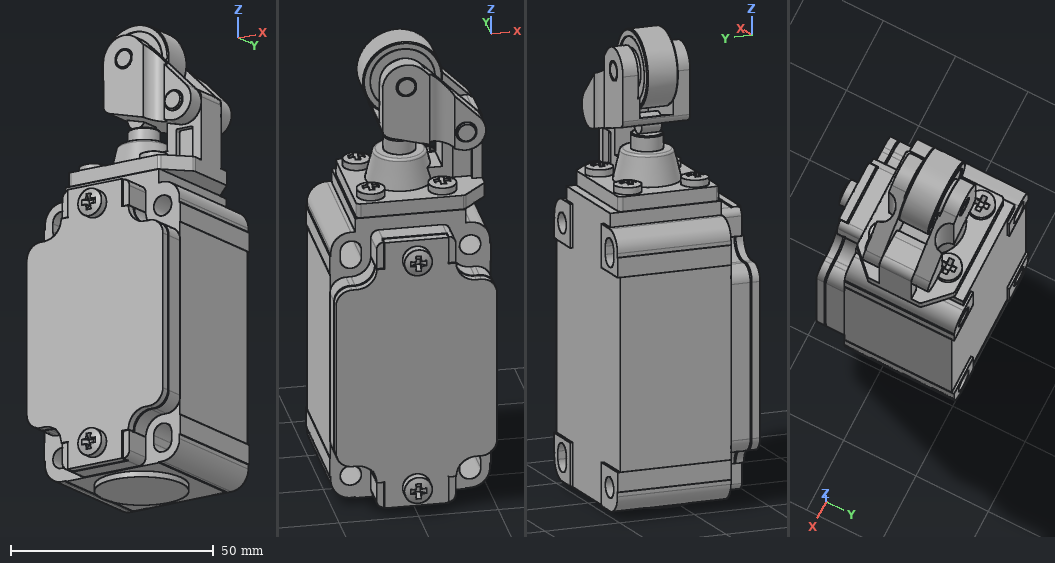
import cadquery as cq
import math


front_y = -14.0
back_y = 15.75
pad_back_y = 16.4
core_half_width = 13.9
core_top = 76.0
ear_half_width = 20.0
ear_bottom = 0.2
ear_top = 72.4
ear_radius = 5.0
side_half_width = 20.15
band_half_width = 20.25
band_height = 5.1
pad_inner_x = 9.8
mid_z = (ear_bottom + ear_top) / 2

hole_diameter = 5.3
slot_length = 7.4
hole_x = 15.0
hole_half_pitch = 30.0

boss_diameter = 23.3
boss_height = 1.5
boss_y = -1.05

seat_y = -19.05
gap = 0.45
cover_back_y = seat_y - gap
cover_front_y = -21.7
guide_front_y = -21.2
tab_half_width = 9.95
tab_radius = 1.9
tab_root_z = 65.3
cover_tab_half_width = 8.05
tab_clearance = 0.1
scallop_radius = 5.0
shoulder_radius = 4.0

plate_half = 13.5
plate_y = -0.25
plate_height = 3.75
plate_top = core_top + plate_height
plate_corner_radius = 1.0
plate_tip_x = 20.0
plate_taper_start_x = 13.7
cone_base_diameter = 17.0
cone_top_diameter = 13.3
cone_height = 7.9
cone_edge_radius = 0.75
plunger_diameter = 8.1
plunger_top = 91.6
plunger_chamfer = 0.3

screw_diameter = 7.0
screw_dome_height = 0.8
plate_screw_height = 2.6
plate_screw_offset = 9.0
cover_screw_height = 3.03
cover_screw_half_pitch = 30.95
cross_length = 4.7
cross_width = 1.3
cross_depth = 1.5

roller_diameter = 20.0
roller_z = 108.2
roller_half_width = 4.2
roller_chamfer = 0.3
face_recess_diameter = 16.3
face_recess_depth = 0.3
hub_diameter = 10.5
axle_diameter = 5.0
axle_chamfer = 0.35
pivot_x = 15.0
pivot_z = 94.75
pivot_radius = 5.0
pivot_pin_diameter = 5.2
pivot_pin_proud = 0.7
pivot_pin_chamfer = 0.35
lever_half_width = 9.0
arm_inner_y = 4.45
arm_radius = 6.0
arm_recess_radius = 6.1
arm_recess_y = 4.95
underside_angle = math.radians(15)
lever_heel_radius = 2.0
web_thickness = 1.9
access_diameter = 6.3
nose_diameter = 5.21
nose_x = -0.5
nose_half_width = 2.7

post_half_width = arm_inner_y
post_left = 9.9
post_right = 20.0
post_top = 98.4
post_corner_radius = 2.3
foot_top = 83.7
post_pocket_half = 2.45
post_pocket_top = 88.9
post_pocket_depth = 1.6
post_pocket_radius = 0.5


def block(x0, x1, y0, y1, z0, z1):
    return cq.Workplane("XY").box(x1 - x0, y1 - y0, z1 - z0, centered=False).translate((x0, y0, z0))


def along_y(sketch, y0, y1):
    """Extrude a profile drawn in X and Z from y0 to y1."""
    return sketch.extrude(y0 - y1).translate((0, y0, 0))


def rod_y(x, z, diameter, y0, y1):
    return along_y(cq.Workplane("XZ").center(x, z).circle(diameter / 2), y0, y1)


def front_slab(tab_half, tab_corner, y_front, y_back):
    """Cover-shaped slab: two end tabs and a scallop round each mounting hole."""
    diagonal = math.sqrt(0.5)
    rise = tab_root_z - mid_z
    tab_end = ear_top - mid_z
    scallop_z = rise - scallop_radius
    shoulder_x = band_half_width - shoulder_radius
    shoulder_z = scallop_z - shoulder_radius
    scallop_mid = (hole_x - scallop_radius * diagonal, rise - scallop_radius * diagonal)
    shoulder_mid = (shoulder_x + shoulder_radius * diagonal, shoulder_z + shoulder_radius * diagonal)
    quarter = (
        cq.Workplane("XZ").moveTo(0, 0).lineTo(band_half_width, 0)
        .lineTo(band_half_width, shoulder_z)
        .threePointArc(shoulder_mid, (shoulder_x, scallop_z))
        .lineTo(hole_x, scallop_z)
        .threePointArc(scallop_mid, (hole_x - scallop_radius, rise))
        .lineTo(tab_half, rise).lineTo(tab_half, tab_end - tab_corner)
    )
    if tab_corner > 0:
        quarter = quarter.radiusArc((tab_half - tab_corner, tab_end), -tab_corner)
    quarter = along_y(quarter.lineTo(0, tab_end).close(), y_front, y_back)
    half = quarter.union(quarter.mirror("YZ"))
    return half.union(half.mirror("XY")).translate((0, 0, mid_z)).clean()


def make_screw_head(height):
    """Round head standing on Z = 0 with a cross recess in its top."""
    radius = screw_diameter / 2
    shoulder = height - screw_dome_height
    sphere = (radius ** 2 + screw_dome_height ** 2) / (2 * screw_dome_height)
    head = (
        cq.Workplane("XZ").lineTo(radius, 0).lineTo(radius, shoulder)
        .radiusArc((0, height), -sphere).close().revolve(360, (0, 0), (0, 1))
    )
    bar = along_y(
        cq.Workplane("XZ").moveTo(-cross_length / 2, height)
        .lineTo(-cross_width / 2, height - cross_depth)
        .lineTo(cross_width / 2, height - cross_depth)
        .lineTo(cross_length / 2, height).close(),
        -cross_width / 2, cross_width / 2,
    )
    return head.cut(bar).cut(bar.rotate((0, 0, 0), (0, 0, 1), 90))


def make_case():
    core = block(-core_half_width, core_half_width, front_y, back_y, 0, core_top)
    ears = block(-ear_half_width, ear_half_width, front_y, pad_back_y, ear_bottom, ear_top)
    ears = ears.edges("|Y").fillet(ear_radius)
    band_low = mid_z - hole_half_pitch
    band_high = mid_z + hole_half_pitch
    pad_low = band_low + band_height
    pad_high = band_high - band_height
    sides = block(-side_half_width, side_half_width, front_y, back_y, pad_low, pad_high)
    case = core.union(ears).union(sides)
    for z0, z1 in ((band_low, pad_low), (pad_high, band_high)):
        case = case.union(block(-band_half_width, band_half_width, front_y, pad_back_y, z0, z1))
    case = case.cut(block(-pad_inner_x, pad_inner_x, back_y, pad_back_y, 0, core_top))
    case = case.cut(block(-band_half_width, band_half_width, back_y, pad_back_y, pad_low, pad_high))
    boss = cq.Workplane("XY").center(0, boss_y).circle(boss_diameter / 2).extrude(-boss_height)
    return case.union(boss)


def make_cover_seat():
    seat = front_slab(tab_half_width, tab_radius, seat_y, front_y)
    guides = front_slab(tab_half_width, tab_radius, guide_front_y, seat_y)
    inner = cover_tab_half_width + tab_clearance
    root = tab_root_z - mid_z
    guides = guides.cut(block(-inner, inner, guide_front_y, seat_y, 0, core_top))
    guides = guides.cut(
        block(-band_half_width, band_half_width, guide_front_y, seat_y, mid_z - root, mid_z + root)
    )
    return seat.union(guides)


def make_mounting_holes():
    """Round holes on one diagonal, upright slots on the other."""
    cutters = cq.Workplane("XZ")
    for side in (-1, 1):
        for end in (-1, 1):
            spot = cq.Workplane("XZ").center(side * hole_x, mid_z + end * hole_half_pitch)
            if side == end:
                shape = spot.circle(hole_diameter / 2)
            else:
                shape = spot.slot2D(slot_length, hole_diameter, 90)
            cutters = cutters.add(along_y(shape, front_y, pad_back_y))
    return cutters


def make_head():
    tip_half = plate_half - (plate_tip_x - plate_taper_start_x)
    plate = (
        cq.Workplane("XY").workplane(offset=core_top)
        .moveTo(-plate_half, -plate_half)
        .lineTo(plate_taper_start_x, -plate_half)
        .lineTo(plate_tip_x, -tip_half)
        .lineTo(plate_tip_x, tip_half)
        .lineTo(plate_taper_start_x, plate_half)
        .lineTo(-plate_half, plate_half)
        .close().extrude(plate_height).translate((0, plate_y, 0))
    )
    plate = plate.edges("|Z").fillet(plate_corner_radius)
    cone = (
        cq.Workplane("XY").workplane(offset=plate_top).circle(cone_base_diameter / 2)
        .workplane(offset=cone_height).circle(cone_top_diameter / 2).loft()
        .faces(">Z").edges().fillet(cone_edge_radius)
    )
    plunger = (
        cq.Workplane("XY").workplane(offset=plate_top).circle(plunger_diameter / 2)
        .extrude(plunger_top - plate_top).faces(">Z").edges().chamfer(plunger_chamfer)
    )
    head = plate.union(cone).union(plunger)
    for x in (-plate_screw_offset, plate_screw_offset):
        for y in (-plate_screw_offset, plate_screw_offset):
            head = head.union(make_screw_head(plate_screw_height).translate((x, y, plate_top)))
    return head


def make_post():
    post = block(post_left, post_right, -post_half_width, post_half_width, plate_top, post_top)
    post = post.edges("|Y and >Z").fillet(post_corner_radius)
    pocket = block(
        pivot_x - post_pocket_half, pivot_x + post_pocket_half,
        -post_half_width, -post_half_width + post_pocket_depth, plate_top, post_pocket_top,
    ).edges("|Y and >Z").fillet(post_pocket_radius)
    post = post.cut(pocket).cut(pocket.mirror("XZ"))
    foot = block(0, post_left, -post_half_width, post_half_width, plate_top, foot_top)
    return post.union(foot)


def underside_z(x):
    """Height of the lever's sloping underside, tangent to the pivot end."""
    return pivot_z - pivot_radius / math.cos(underside_angle) + (pivot_x - x) * math.tan(underside_angle)


def make_lever():
    run = pivot_x
    drop = roller_z - pivot_z
    lean = math.acos((arm_radius - pivot_radius) / math.hypot(run, drop))
    tangent = lean - math.atan2(drop, run)

    def on_roller_end(angle):
        return arm_radius * math.cos(angle), roller_z + arm_radius * math.sin(angle)

    def on_pivot_end(angle):
        return pivot_x + pivot_radius * math.cos(angle), pivot_z + pivot_radius * math.sin(angle)

    bottom = -math.pi / 2 - underside_angle
    profile = (
        cq.Workplane("XZ").moveTo(-arm_radius, underside_z(-arm_radius))
        .lineTo(-arm_radius, roller_z)
        .threePointArc(on_roller_end((math.pi + tangent) / 2), on_roller_end(tangent))
        .lineTo(*on_pivot_end(tangent))
        .threePointArc(on_pivot_end((tangent + bottom) / 2), on_pivot_end(bottom))
        .close()
    )
    lever = along_y(profile, -lever_half_width, lever_half_width)
    heel = cq.selectors.NearestToPointSelector((-arm_radius, 0, underside_z(-arm_radius)))
    lever = lever.edges("|Y").edges(heel).fillet(lever_heel_radius)

    slot_profile = (
        cq.Workplane("XZ")
        .moveTo(-arm_radius, underside_z(-arm_radius) + web_thickness)
        .lineTo(post_left, underside_z(post_left) + web_thickness)
        .lineTo(post_left, plate_top).lineTo(post_right, plate_top)
        .lineTo(post_right, roller_z + arm_radius).lineTo(-arm_radius, roller_z + arm_radius)
        .close()
    )
    lever = lever.cut(along_y(slot_profile, -arm_inner_y, arm_inner_y))
    recess = rod_y(0, roller_z, 2 * arm_recess_radius, -arm_recess_y, arm_recess_y)
    recess = recess.union(
        block(
            -arm_recess_radius, 0, -arm_recess_y, arm_recess_y,
            roller_z - arm_recess_radius, roller_z + arm_recess_radius,
        )
    )
    lever = lever.cut(recess)
    for side in (-1, 1):
        access = (
            cq.Workplane("XY").workplane(offset=plate_top)
            .center(plate_screw_offset, side * plate_screw_offset)
            .circle(access_diameter / 2).extrude(roller_z - plate_top + arm_radius)
        )
        lever = lever.cut(access)
    nose_z = plunger_top + nose_diameter / 2
    nose = rod_y(nose_x, nose_z, nose_diameter, -nose_half_width, nose_half_width)
    return lever.union(nose)


def make_roller():
    roller = rod_y(0, roller_z, roller_diameter, -roller_half_width, roller_half_width)
    roller = roller.faces("<Y or >Y").edges().chamfer(roller_chamfer)
    core_half = roller_half_width - face_recess_depth
    for y0, y1 in ((-roller_half_width, -core_half), (core_half, roller_half_width)):
        roller = roller.cut(rod_y(0, roller_z, face_recess_diameter, y0, y1))
    return roller.union(rod_y(0, roller_z, hub_diameter, -arm_recess_y, arm_recess_y))


def make_axle_grooves():
    """Annular grooves that the chamfered axle ends leave inside their holes."""
    bore = rod_y(0, roller_z, axle_diameter, -lever_half_width, lever_half_width)
    axle = bore.faces("<Y or >Y").edges().chamfer(axle_chamfer)
    return bore.cut(axle)


def make_pivot_pin():
    pin_front = -lever_half_width - pivot_pin_proud
    pin = rod_y(pivot_x, pivot_z, pivot_pin_diameter, pin_front, lever_half_width)
    return pin.faces("<Y").edges().chamfer(pivot_pin_chamfer)


def make_housing():
    """Case, head, post, lever and roller as one solid."""
    return (
        make_case().union(make_cover_seat()).cut(make_mounting_holes())
        .union(make_head()).union(make_post())
        .union(make_lever()).union(make_roller()).union(make_pivot_pin())
        .cut(make_axle_grooves())
    )


def make_cover():
    cover = front_slab(cover_tab_half_width, 0, cover_front_y, cover_back_y)
    for end in (-1, 1):
        head = make_screw_head(cover_screw_height).rotate((0, 0, 0), (1, 0, 0), 90)
        cover = cover.union(head.translate((0, cover_front_y, mid_z + end * cover_screw_half_pitch)))
    return cover


housing = make_housing()
cover = make_cover()
result = cq.Compound.makeCompound([housing.solids().val(), cover.solids().val()])